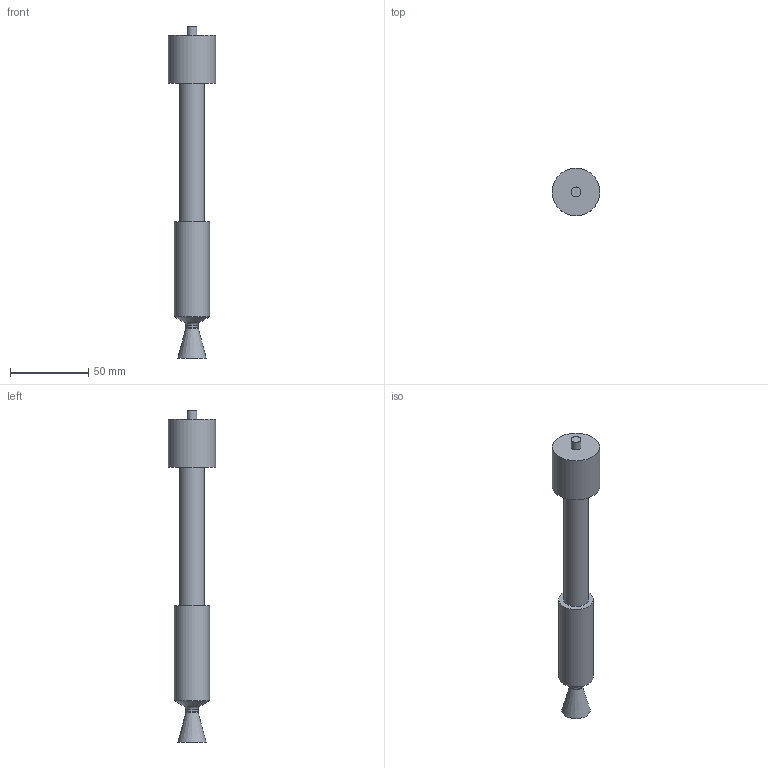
import cadquery as cq
import math

PIN_DIAMETER = 6.35
HEAD_DIAMETER = 30.42
SHAFT_DIAMETER = 16.0
BARREL_DIAMETER = 22.42
THROAT_DIAMETER = 7.79
NOZZLE_EXIT_DIAMETER = 18.1

TOTAL_HEIGHT = 212.2
PIN_HEIGHT = 5.9
HEAD_HEIGHT = 30.7
BARREL_HEIGHT = 60.7
THROAT_HEIGHT = 1.5

CONVERGING_ANGLE = math.radians(60)
DIVERGING_ANGLE = math.radians(15)
BLEND_RADIUS = 2.0

pin_radius = PIN_DIAMETER / 2
head_radius = HEAD_DIAMETER / 2
shaft_radius = SHAFT_DIAMETER / 2
barrel_radius = BARREL_DIAMETER / 2
throat_radius = THROAT_DIAMETER / 2
exit_radius = NOZZLE_EXIT_DIAMETER / 2


def blend_offset(angle):
    """Radial growth and axial length of an arc that turns off the throat wall by an angle."""
    return BLEND_RADIUS * (1 - math.cos(angle)), BLEND_RADIUS * math.sin(angle)


def blend_points(angle, throat_end, direction):
    """Middle and outer end of the arc leaving the throat; direction is +1 for up, -1 for down."""
    points = []
    for turned in (angle / 2, angle):
        growth, length = blend_offset(turned)
        points.append((throat_radius + growth, throat_end + direction * length))
    return points


def cone_height(small_radius, large_radius, angle):
    """Axial length of a cone wall between two radii."""
    return (large_radius - small_radius) / math.tan(angle)


diverging_growth, diverging_length = blend_offset(DIVERGING_ANGLE)
nozzle_cone_height = cone_height(throat_radius + diverging_growth, exit_radius, DIVERGING_ANGLE)
throat_bottom = nozzle_cone_height + diverging_length
throat_top = throat_bottom + THROAT_HEIGHT

converging_growth, converging_length = blend_offset(CONVERGING_ANGLE)
converging_cone_height = cone_height(throat_radius + converging_growth, barrel_radius, CONVERGING_ANGLE)
barrel_bottom = throat_top + converging_length + converging_cone_height
barrel_top = barrel_bottom + BARREL_HEIGHT

head_top = TOTAL_HEIGHT - PIN_HEIGHT
head_bottom = head_top - HEAD_HEIGHT

diverging_middle, diverging_end = blend_points(DIVERGING_ANGLE, throat_bottom, -1)
converging_middle, converging_end = blend_points(CONVERGING_ANGLE, throat_top, 1)

outline = (
    cq.Workplane("XZ")
    .moveTo(0, 0)
    .lineTo(exit_radius, 0)
    .lineTo(*diverging_end)
    .threePointArc(diverging_middle, (throat_radius, throat_bottom))
    .lineTo(throat_radius, throat_top)
    .threePointArc(converging_middle, converging_end)
    .lineTo(barrel_radius, barrel_bottom)
    .lineTo(barrel_radius, barrel_top)
    .lineTo(shaft_radius, barrel_top)
    .lineTo(shaft_radius, head_bottom)
    .lineTo(head_radius, head_bottom)
    .lineTo(head_radius, head_top)
    .lineTo(pin_radius, head_top)
    .lineTo(pin_radius, TOTAL_HEIGHT)
    .lineTo(0, TOTAL_HEIGHT)
    .close()
)

result = outline.revolve(360, (0, 0, 0), (0, 1, 0))